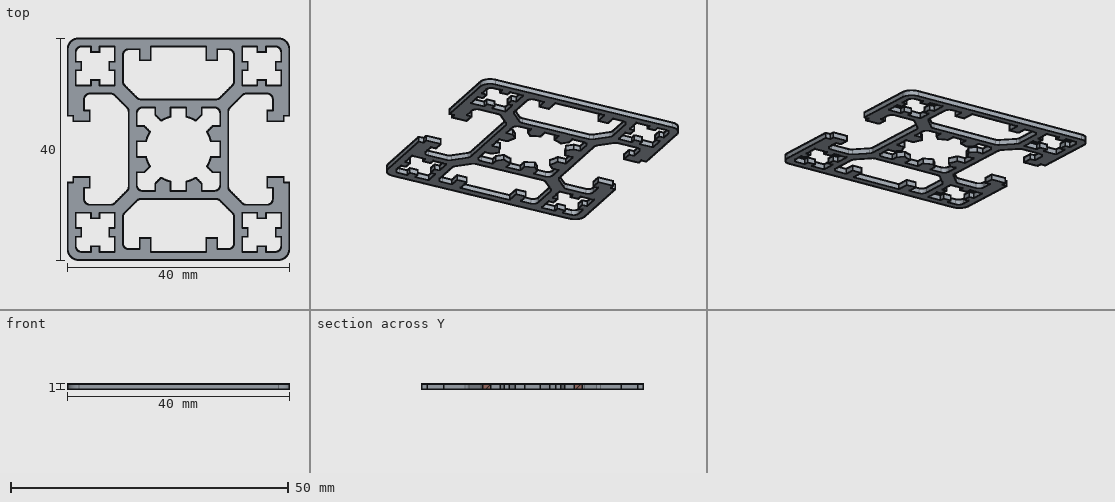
import cadquery as cq
import math

side = 40.0
thickness = 1.0
outer_radius = 2.0
half = side / 2
quarter_turns = (0, 90, 180, 270)
half_turns = (0, 180)

corner_block = 10.0
cell_size = 7.0
cell_radius = 1.0
cell_rib_width = 1.6
cell_rib_height = 1.0
wall = (corner_block - cell_size) / 2

slot_half_width = half - corner_block
slot_depth = 11.0
slot_radius = 1.0
diagonal_web = 2.5
open_slot_lip_depth = 3.0
closed_slot_lip_depth = 2.0
lip_end_depth = 4.0
lip_width = 2.0
mouth_half_width = 5.0
notch_size = 1.0

core_half = half - slot_depth - wall
core_radius = 1.0
bore_radius = 6.0
tooth_inner = 1.4
tooth_outer = 4.2
tooth_flank_offset = 2.0


def block(x_min, x_max, y_min, y_max):
    """Full-thickness rectangular block standing on Z = 0."""
    return (
        cq.Workplane("XY")
        .center((x_min + x_max) / 2, (y_min + y_max) / 2)
        .rect(x_max - x_min, y_max - y_min)
        .extrude(thickness)
    )


def turned(shape, angle):
    """Shape rotated about the central Z axis."""
    return shape.rotate((0, 0, 0), (0, 0, 1), angle)


def corner_cell():
    """Void in the +X +Y corner, with a rib in the middle of each wall."""
    centre = half - corner_block / 2
    reach = cell_size / 2
    cell = block(-reach, reach, -reach, reach).edges("|Z and >X and >Y").fillet(cell_radius)
    rib = block(-cell_rib_width / 2, cell_rib_width / 2, reach - cell_rib_height, reach)
    for angle in quarter_turns:
        cell = cell.cut(turned(rib, angle))
    return cell.translate((centre, centre, 0))


def slot_cavity(lip_depth):
    """Void of a +Y slot behind its lips, narrowing at 45 degrees to the floor."""
    floor_y = half - slot_depth
    lip_y = half - lip_depth
    web_offset = diagonal_web / math.sqrt(2)
    floor_half_width = floor_y - web_offset
    shoulder_y = slot_half_width + web_offset
    return (
        cq.Workplane("XY")
        .polyline([
            (-floor_half_width, floor_y),
            (floor_half_width, floor_y),
            (slot_half_width, shoulder_y),
            (slot_half_width, lip_y),
            (-slot_half_width, lip_y),
            (-slot_half_width, shoulder_y),
        ])
        .close()
        .extrude(thickness)
        .edges("|Z")
        .fillet(slot_radius)
    )


def lipped_slot(lip_depth, mouth_depth):
    """Void of a +Y slot with a lip each side of a mouth that starts at mouth_depth."""
    slot = slot_cavity(lip_depth)
    lip_reach = mouth_half_width + lip_width
    lip_y = half - lip_depth
    lip_end_y = half - lip_end_depth
    lips = block(-lip_reach, lip_reach, lip_end_y, lip_y)
    mouth = block(-mouth_half_width, mouth_half_width, lip_end_y, half - mouth_depth)
    return slot.cut(lips).union(mouth)


def closed_slot():
    """Slot whose mouth stops at the outer wall."""
    return lipped_slot(closed_slot_lip_depth, wall)


def open_slot():
    """Slot that breaks through the outer side, with a notch at each mouth edge."""
    notch_reach = mouth_half_width + notch_size
    notches = block(-notch_reach, notch_reach, half - notch_size, half)
    return lipped_slot(open_slot_lip_depth, 0).union(notches)


def core_tooth():
    """Tooth on the +Y wall of the core, right of centre: a 45 degree flank and a bore-cut tip."""
    tooth = (
        cq.Workplane("XY")
        .polyline([
            (tooth_inner, core_half),
            (tooth_outer, core_half),
            (tooth_outer, tooth_outer + tooth_flank_offset),
            (tooth_inner, tooth_inner + tooth_flank_offset),
        ])
        .close()
        .extrude(thickness)
    )
    bore = cq.Workplane("XY").circle(bore_radius).extrude(thickness)
    return tooth.cut(bore)


def core():
    """Square centre void with two mirrored teeth on each wall."""
    void = block(-core_half, core_half, -core_half, core_half).edges("|Z").fillet(core_radius)
    tooth = core_tooth()
    teeth = tooth.union(tooth.mirror("YZ"))
    for angle in quarter_turns:
        void = void.cut(turned(teeth, angle))
    return void


result = block(-half, half, -half, half).edges("|Z").fillet(outer_radius)
for angle in quarter_turns:
    result = result.cut(turned(corner_cell(), angle))
for angle in half_turns:
    result = result.cut(turned(closed_slot(), angle))
    result = result.cut(turned(open_slot(), angle + 90))
result = result.cut(core())